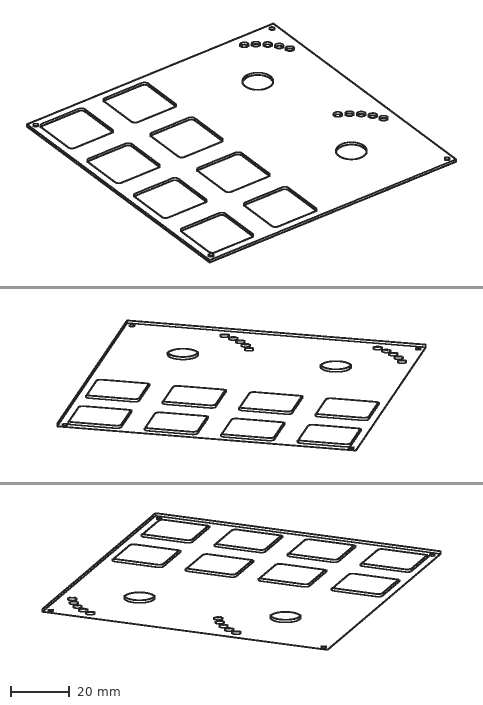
import cadquery as cq

plate_side = 104.4
plate_thickness = 1.0

pitch = 26.7
window_side = 18.6
window_corner_radius = 1.6
window_columns = 4
window_rows = 2
knob_hole_diameter = 10.5

indicator_diameter = 3.0
indicator_arc_radius = 23.0
indicator_count = 5
indicator_step_angle = 10.0
indicator_middle_angle = 135.0

screw_diameter = 1.8
screw_offset = 50.0

window_centre_y = -pitch * window_rows / 2
knob_centres = [(-pitch, pitch), (pitch, pitch)]


def round_cutters(centres, diameter):
    """Vertical cylinders that pass through the plate."""
    return cq.Workplane("XY").pushPoints(centres).circle(diameter / 2).extrude(plate_thickness)


def window_cutters():
    """Grid of square windows with rounded corners."""
    return (
        cq.Workplane("XY")
        .center(0, window_centre_y)
        .rarray(pitch, pitch, window_columns, window_rows)
        .rect(window_side, window_side)
        .extrude(plate_thickness)
        .edges("|Z")
        .fillet(window_corner_radius)
    )


def indicator_cutters(knob_centre):
    """Arc of small holes concentric with one knob hole."""
    start_angle = indicator_middle_angle - indicator_step_angle * (indicator_count - 1) / 2
    return (
        cq.Workplane("XY")
        .center(*knob_centre)
        .polarArray(indicator_arc_radius, start_angle, indicator_step_angle, indicator_count, fill=False)
        .circle(indicator_diameter / 2)
        .extrude(plate_thickness)
    )


screw_centres = [(x, y) for x in (-screw_offset, screw_offset) for y in (-screw_offset, screw_offset)]

result = cq.Workplane("XY").box(plate_side, plate_side, plate_thickness, centered=(True, True, False))
result = result.cut(window_cutters())
result = result.cut(round_cutters(knob_centres, knob_hole_diameter))
result = result.cut(round_cutters(screw_centres, screw_diameter))
for knob_centre in knob_centres:
    result = result.cut(indicator_cutters(knob_centre))